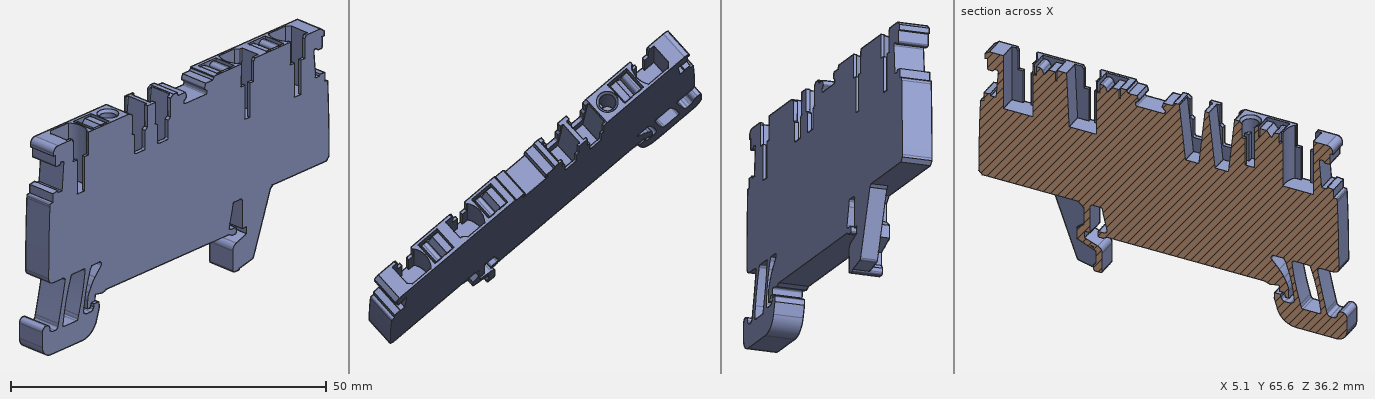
import cadquery as cq
import math


WIDTH = 5.1
HEIGHT = 36.15
LENGTH = 65.64
END_PLUS = 32.82
END_MINUS = -31.4
FOOT_END = END_PLUS - LENGTH
HOUSING_BOTTOM = 12.45
RAIL_FACE = 7.14
OVERLAP = 0.5
MID_X = WIDTH / 2

END_BOW_Z = 19.75
END_BOW_RADIUS = 280
LEDGE_STEP_Z = 26.5
LEDGE_INSET = 0.95
LEDGE_Z = 28.1
NOTCH_FLOOR_Z = 27.9
NOTCH_ROOF_Z = 33.0
NOTCH_INSET = 3.5
HEAD_UNDERSIDE_Z = 32.6
HEAD_STEP_Z = 34.63
HEAD_STEP_INSET = 1.57
HEAD_INSET = 1.1

SPRING_FLOOR_Z = 3.93
SPRING_SLOT_Z = 4.4
SPRING_TIP_Z = 5.4
SPRING_TIP_RADIUS = 0.86
OUTER_ARM_RADIUS = 135
OPENING_INNER_RADIUS = 44
OPENING_OUTER_RADIUS = 34
INNER_ARM_RADIUS = 20
HOOK_TIP_Y = 10.77
HOOK_BOTTOM_Z = 0.15
WEB_X_MIN = 2.2

SHOULDER_Z = HEIGHT - 0.58
MARKER_LIP_Z = 34.7
MARKER_UNDERCUT_Z = 34.1
MARKER_FLOOR = HEIGHT - 2.55
MARKER_PLUS = 6.4
MARKER_MINUS = -1.95
SHAFT_CENTRES = (-5.23, -10.5)
SHAFT_TOP_HALF = 1.72
SHAFT_LOW_HALF = 1.2
SHAFT_FLOOR = 28.65
SHAFT_STEP_Z = 32.2
SHAFT_STEP_HALF = 0.2
SHAFT_WALL = 0.4
SHAFT_CAVITY_X_MAX = 4.4
SHAFT_CAVITY_FLOOR = 26.0
SHAFT_CAVITY_TOP_HALF = 2.25
SHAFT_CAVITY_FLOOR_HALF = 1.15
MOUTH_CHAMFER_Y = 0.7
MOUTH_CHAMFER_Z = 0.45

FUNNELS = ((28.36, -1, 4.55, 0), (16.65, -1, 4.15, 0.45), (-26.8, 1, 4.75, 0))
FUNNEL_X_MIN = 0.42
FUNNEL_X_MAX = 4.58
FUNNEL_DEPTH = 10.0
FUNNEL_CHAMFER = 0.65
FUNNEL_BULGE = 0.7
WINDOW_OUTER_MARGIN = 1.1
WINDOW_INNER_MARGIN = 0.2
WINDOW_SLOPE = 0.3
WINDOW_SLOPE_DEPTH = 0.5
WINDOW_LEDGE = 0.9
WINDOW_LEDGE_DEPTH = 4.0
BUTTON_GAP = 0.25
BUTTON_LENGTH = 4.0
BUTTON_X_MIN = 0.62
BUTTON_X_MAX = 4.65
BUTTON_CLEARANCE = 0.2
BUTTON_RECESS = 2.0
BUTTON_LIP = 0.35
BUTTON_LIP_END = 1.3
BUTTON_VALLEY = 1.7
BUTTON_FLAT = 2.6
BUTTON_LIP_RADIUS = 0.8
BUTTON_DROP = 0.35
BUTTON_GROOVE_DEPTH = 1.1

SOCKET_Y = -15.2
SOCKET_MOUTH_RADIUS = 1.73
SOCKET_RADIUS = 1.35
SOCKET_MOUTH_DEPTH = 0.5
SOCKET_DEPTH = 3.0
KEY_HALF_WIDTH = 0.42
KEY_STEP_Y = 0.5
KEY_DEPTH = 8.0


def rounded_outline(workplane, points):
    """Closed outline through (u, v) corners; an optional third value is the corner radius."""
    arcs = []
    for i, corner in enumerate(points):
        here = cq.Vector(corner[0], corner[1])
        radius = corner[2] if len(corner) > 2 else 0
        if not radius:
            arcs.append((here,))
            continue
        following = points[(i + 1) % len(points)]
        back = (cq.Vector(*points[i - 1][:2]) - here).normalized()
        ahead = (cq.Vector(*following[:2]) - here).normalized()
        half_angle = back.getAngle(ahead) / 2
        bisector = (back + ahead).normalized()
        reach = radius / math.tan(half_angle)
        middle = here + bisector * (radius / math.sin(half_angle) - radius)
        arcs.append((here + back * reach, middle, here + ahead * reach))
    path = workplane.moveTo(*arcs[0][-1].toTuple()[:2])
    for arc in arcs[1:] + arcs[:1]:
        path = path.lineTo(*arc[0].toTuple()[:2])
        if len(arc) > 1:
            path = path.threePointArc(arc[1].toTuple()[:2], arc[2].toTuple()[:2])
    return path.close()


def slab(points, x_min=0.0, x_max=WIDTH):
    """Solid with a rounded YZ outline between two X positions."""
    plane = cq.Workplane("YZ", origin=(x_min, 0, 0))
    return rounded_outline(plane, points).extrude(x_max - x_min)


def block(x_min, x_max, y_a, y_b, z_min, z_max):
    """Axis-aligned box between two positions on each axis."""
    size = (x_max - x_min, abs(y_b - y_a), z_max - z_min)
    centre = ((x_min + x_max) / 2, (y_a + y_b) / 2, (z_min + z_max) / 2)
    return cq.Workplane("XY").box(*size).translate(centre)


def housing_end(edge, inward, foot_corner, head_corner):
    """Stepped end of the housing from bottom to top, as inset from the end and height."""
    steps = [
        (0, END_BOW_Z, END_BOW_RADIUS), (0.3, LEDGE_STEP_Z, 0.2), (LEDGE_INSET, LEDGE_STEP_Z + 0.1),
        (LEDGE_INSET, LEDGE_Z), (2.1, LEDGE_Z + 0.15), (2.2, NOTCH_FLOOR_Z), (3.07, NOTCH_FLOOR_Z),
        (NOTCH_INSET, NOTCH_ROOF_Z, 0.3), (2.9, NOTCH_ROOF_Z),
        (2.5, HEAD_UNDERSIDE_Z, 0.2), (HEAD_STEP_INSET, HEAD_UNDERSIDE_Z, 0.25),
        (HEAD_STEP_INSET, HEAD_STEP_Z), (HEAD_INSET, HEAD_STEP_Z),
    ]
    return [(edge + inward * step[0], *step[1:]) for step in foot_corner + steps + head_corner]


def housing_plate():
    """Main plate: chamfered corners at +Y, rounded corners at -Y."""
    chamfered_foot = [(0.65, HOUSING_BOTTOM), (0, HOUSING_BOTTOM + 0.65)]
    chamfered_head = [(HEAD_INSET, HEIGHT - 0.65), (1.95, HEIGHT)]
    rounded_foot = [(0, HOUSING_BOTTOM, 1.0)]
    rounded_head = [(HEAD_INSET, HEIGHT, 1.05)]
    plus_end = housing_end(END_PLUS, -1, chamfered_foot, chamfered_head)
    minus_end = housing_end(END_MINUS, 1, rounded_foot, rounded_head)
    return slab(plus_end + minus_end[::-1])


def marker_groove():
    """Snap-in groove with shoulders and a small undercut at both sides."""
    above = HEIGHT + OVERLAP
    half = [
        (0, above), (0, HEIGHT - 0.2), (0.25, SHOULDER_Z),
        (1.85, SHOULDER_Z), (2.15, MARKER_LIP_Z, 0.2),
        (1.5, MARKER_UNDERCUT_Z, 0.2), (1.65, MARKER_FLOOR, 0.2),
    ]
    plus_side = [(MARKER_PLUS - p[0], *p[1:]) for p in half]
    minus_side = [(MARKER_MINUS + p[0], *p[1:]) for p in half]
    return slab(plus_side + minus_side[::-1])


def bridge_shaft(centre):
    """Stepped slot across the block with a wider tapered cavity between the side walls."""
    above = HEIGHT + OVERLAP
    half_slot = [
        (SHAFT_TOP_HALF, above), (SHAFT_TOP_HALF, SHAFT_STEP_Z + SHAFT_STEP_HALF),
        (SHAFT_LOW_HALF, SHAFT_STEP_Z - SHAFT_STEP_HALF), (SHAFT_LOW_HALF, SHAFT_FLOOR, 0.3),
    ]
    half_cavity = [(SHAFT_CAVITY_TOP_HALF, HEIGHT), (SHAFT_CAVITY_FLOOR_HALF, SHAFT_CAVITY_FLOOR)]

    def both_sides(half):
        mirrored = [(centre - p[0], *p[1:]) for p in half]
        return mirrored + [(centre + p[0], *p[1:]) for p in half[::-1]]

    cavity = slab(both_sides(half_cavity), SHAFT_WALL, SHAFT_CAVITY_X_MAX)
    return slab(both_sides(half_slot)).union(cavity)


def shaft_mouth_chamfer(centre, outward):
    """Wedge that breaks the top edge of a shaft on the side facing outward."""
    edge = centre + outward * SHAFT_TOP_HALF
    return slab([
        (edge, HEIGHT - MOUTH_CHAMFER_Z),
        (edge + outward * MOUTH_CHAMFER_Y, HEIGHT),
        (edge, HEIGHT),
    ])


def wire_funnel(outer, inward, length, flare):
    """Funnel with a bowed inner end, opened through the +X wall by a stepped window."""
    inner = outer + inward * length
    corner = outer + inward * FUNNEL_CHAMFER
    funnel = (
        cq.Workplane("XY", origin=(0, 0, HEIGHT - FUNNEL_DEPTH))
        .moveTo(FUNNEL_X_MIN + FUNNEL_CHAMFER, outer)
        .lineTo(FUNNEL_X_MAX, outer)
        .lineTo(FUNNEL_X_MAX, inner)
        .threePointArc((MID_X, inner + inward * FUNNEL_BULGE), (FUNNEL_X_MIN, inner))
        .lineTo(FUNNEL_X_MIN, corner)
        .close()
        .extrude(FUNNEL_DEPTH)
    )
    floor_z = HEIGHT - FUNNEL_DEPTH
    slope_z = HEIGHT - WINDOW_SLOPE_DEPTH
    ledge_z = HEIGHT - WINDOW_LEDGE_DEPTH
    ledge = inward * WINDOW_LEDGE
    near = outer + inward * WINDOW_OUTER_MARGIN
    far = inner - inward * WINDOW_INNER_MARGIN
    window = slab(
        [
            (near - inward * WINDOW_SLOPE, HEIGHT), (near, slope_z), (near, ledge_z),
            (near + ledge, ledge_z), (near + ledge, floor_z),
            (far - ledge, floor_z), (far - ledge, ledge_z), (far, ledge_z), (far, HEIGHT),
        ],
        FUNNEL_X_MAX - OVERLAP,
        WIDTH,
    )
    funnel = funnel.union(window)
    if flare:
        wedge = [(outer, floor_z), (outer - inward * flare, HEIGHT), (outer, HEIGHT)]
        funnel = funnel.union(slab(wedge, FUNNEL_X_MIN + FUNNEL_CHAMFER, FUNNEL_X_MAX))
    return funnel


def button_start(outer, inward, length):
    """Y position where the recess beside a funnel begins."""
    return outer + inward * (length + FUNNEL_BULGE + BUTTON_GAP)


def button_recess(start, inward):
    """Rectangular recess that holds a push button."""
    end = start + inward * BUTTON_LENGTH
    return block(BUTTON_X_MIN, BUTTON_X_MAX, start, end, HEIGHT - BUTTON_RECESS, HEIGHT)


def push_button(start, inward):
    """Button in its recess; a rounded lip and a slope form a screwdriver groove."""
    top = HEIGHT - BUTTON_DROP
    valley = top - BUTTON_GROOVE_DEPTH
    floor = HEIGHT - BUTTON_RECESS - OVERLAP
    profile = [
        (BUTTON_LIP, floor), (BUTTON_LIP, top), (BUTTON_LIP_END, top, BUTTON_LIP_RADIUS),
        (BUTTON_VALLEY, valley), (BUTTON_FLAT, top), (BUTTON_LENGTH - BUTTON_CLEARANCE, top),
        (BUTTON_LENGTH - BUTTON_CLEARANCE, floor),
    ]
    placed = [(start + inward * p[0], *p[1:]) for p in profile]
    return slab(placed, BUTTON_X_MIN, BUTTON_X_MAX - 2 * BUTTON_CLEARANCE)


def test_socket():
    """Countersunk round socket with two solid corners left in the lower bore."""
    plane = cq.Workplane("XY", origin=(MID_X, SOCKET_Y, HEIGHT))
    mouth = (
        plane.circle(SOCKET_MOUTH_RADIUS)
        .workplane(offset=-SOCKET_MOUTH_DEPTH)
        .circle(SOCKET_RADIUS)
        .loft()
    )
    keyed_bore = plane.circle(SOCKET_RADIUS).extrude(-KEY_DEPTH)
    for side in (-1, 1):
        corner = block(
            MID_X + side * (KEY_HALF_WIDTH + SOCKET_RADIUS) - SOCKET_RADIUS,
            MID_X + side * (KEY_HALF_WIDTH + SOCKET_RADIUS) + SOCKET_RADIUS,
            SOCKET_Y + KEY_STEP_Y,
            SOCKET_Y + SOCKET_RADIUS,
            HEIGHT - KEY_DEPTH,
            HEIGHT - SOCKET_DEPTH,
        )
        keyed_bore = keyed_bore.cut(corner)
    return keyed_bore.union(mouth)


def rail_base():
    """Lower part of the housing with a nose at +Y and a claw at -Y that grip the rail."""
    inside = HOUSING_BOTTOM + OVERLAP
    return slab([
        (11.4, inside), (11.4, HOUSING_BOTTOM), (10.85, HOUSING_BOTTOM, 0.3),
        (10.65, 11.3), (9.85, 7.95, 0.4),
        (11.6, 7.85, 0.2), (11.55, 6.75, 0.25), (10.6, 6.75, 0.2), (9.9, RAIL_FACE),
        (-18.1, RAIL_FACE), (-19.1, 6.8), (-20.7, 7.1, 0.15), (-20.8, 6.0),
        (-21.65, 5.95, 0.3), (-21.84, 5.14), (-22.46, 5.14), (-22.46, 7.3, 3),
        (-21.3, 9.6, 6), (-19.2, 11.95, 0.3), (-19.6, HOUSING_BOTTOM), (-19.6, inside),
    ])


def spring_foot():
    """Two flexible arms carrying the release foot under the -Y end."""
    inside = HOUSING_BOTTOM + OVERLAP
    foot = slab([
        (-21.5, inside), (-21.5, HOUSING_BOTTOM), (-21.85, 11.9),
        (-22.85, 8.9, INNER_ARM_RADIUS), (-23.5, SPRING_SLOT_Z, 0.7), (-21.4, SPRING_SLOT_Z, 0.6),
        (-21.05, 5.05), (-21.05, 5.56), (-19.85, 5.56, 0.2), (-19.8, 4.5),
        (-21.15, 0, 3.6), (FOOT_END, 0, 1.9),
        (FOOT_END, SPRING_TIP_Z, SPRING_TIP_RADIUS),
        (-31.2, SPRING_TIP_Z, SPRING_TIP_RADIUS), (-31.0, SPRING_FLOOR_Z, 0.6),
        (-29.4, SPRING_FLOOR_Z, 0.6), (-28.3, 8.4, OUTER_ARM_RADIUS), (-27.6, 12.1),
        (-27.95, HOUSING_BOTTOM), (-27.95, inside),
    ])
    opening = slab([
        (-23.0, HOUSING_BOTTOM, 0.3), (-23.5, 8.3, OPENING_INNER_RADIUS), (-24.8, SPRING_FLOOR_Z, 0.3),
        (-28.2, SPRING_FLOOR_Z, 0.3), (-27.35, 9.2, OPENING_OUTER_RADIUS), (-26.2, HOUSING_BOTTOM, 0.4),
    ])
    return foot.cut(opening)


def fixed_foot():
    """Full-width angled strip that hooks the rail at the +Y side, backed by a narrower web."""
    inside = HOUSING_BOTTOM + OVERLAP
    strip = slab([
        (15.1, inside), (15.1, HOUSING_BOTTOM), (14.1, 11.5), (14.1, 8.4),
        (15.34, 7.46), (15.34, 5.35), (11.95, 3.95), (11.95, 1.8), (12.4, 1.2),
        (12.35, HOOK_BOTTOM_Z, 0.4), (HOOK_TIP_Y, HOOK_BOTTOM_Z, 0.4), (HOOK_TIP_Y, 4.8, 1.2),
        (13.9, 5.95), (13.9, RAIL_FACE), (12.94, RAIL_FACE),
        (12.94, 12.15), (12.7, HOUSING_BOTTOM), (12.7, inside),
    ])
    web = slab(
        [
            (19.9, inside), (19.9, HOUSING_BOTTOM), (19.4, 12.0), (15.45, 1.1, 0.5),
            (12.3, 0.4), (11.4, 0.4), (11.4, 4.4), (14.6, 5.7), (14.6, 7.6),
            (13.5, 8.4), (13.5, inside),
        ],
        WEB_X_MIN,
        WIDTH,
    )
    return strip.union(web)


result = housing_plate().union(rail_base()).union(spring_foot()).union(fixed_foot())
result = result.cut(marker_groove())
for shaft_centre in SHAFT_CENTRES:
    result = result.cut(bridge_shaft(shaft_centre))
result = result.cut(shaft_mouth_chamfer(SHAFT_CENTRES[0], 1))
result = result.cut(shaft_mouth_chamfer(SHAFT_CENTRES[1], -1))
for outer_end, direction, funnel_length, outer_flare in FUNNELS:
    button_y = button_start(outer_end, direction, funnel_length)
    result = result.cut(wire_funnel(outer_end, direction, funnel_length, outer_flare))
    result = result.cut(button_recess(button_y, direction))
    result = result.union(push_button(button_y, direction))
result = result.cut(test_socket())